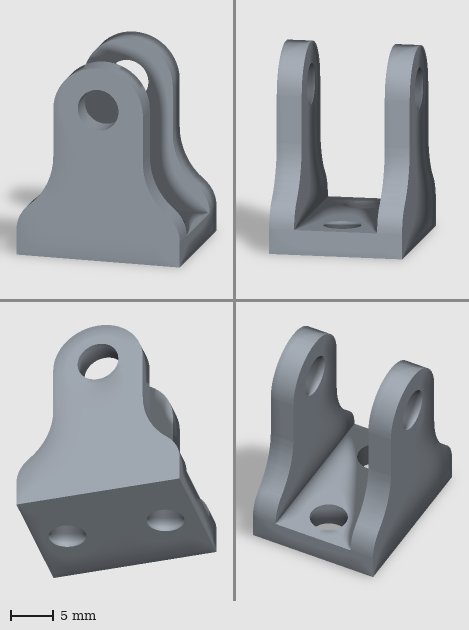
import cadquery as cq
import math

length = 20.0
width = 16.0
height = 23.65
thickness = 3.0

neck_half_width = 5.5
crown_radius = 5.45
shoulder_base = 3.08
shoulder_radius = 4.0
shoulder_flat = 0.1
flare_radius = 8.0

pivot_diameter = 5.0
pivot_height = 18.53
mount_diameter = 4.5
mount_spacing = 12.02

half_length = length / 2
crown_base = height - crown_radius
crown_flat_half = neck_half_width - crown_radius
crown_diagonal = crown_radius * math.sqrt(0.5)

radius_sum = shoulder_radius + flare_radius
run = half_length - neck_half_width
sweep = (
    math.acos((radius_sum - run) / math.hypot(radius_sum, shoulder_flat))
    - math.atan2(shoulder_flat, radius_sum)
)
flare_top = shoulder_base + radius_sum * math.sin(sweep) + shoulder_flat * math.cos(sweep)


def shoulder_point(angle):
    """Point on the right shoulder arc, with the angle measured from +X."""
    return (
        half_length - shoulder_radius * (1 - math.cos(angle)),
        shoulder_base + shoulder_radius * math.sin(angle),
    )


def flare_point(angle):
    """Point on the right flare arc, with the angle measured from -X."""
    return (
        neck_half_width + flare_radius * (1 - math.cos(angle)),
        flare_top - flare_radius * math.sin(angle),
    )


def mirrored(point):
    return (-point[0], point[1])


def make_ear(back_y):
    """Upright ear, extending toward -Y from back_y."""
    shoulder_end = shoulder_point(sweep)
    flare_start = flare_point(sweep)
    shoulder_middle = shoulder_point(sweep / 2)
    flare_middle = flare_point(sweep / 2)
    crown_start = (neck_half_width, crown_base)
    crown_middle = (crown_flat_half + crown_diagonal, crown_base + crown_diagonal)
    crown_end = (crown_flat_half, height)
    return (
        cq.Workplane("XZ", origin=(0, back_y, 0))
        .moveTo(-half_length, 0)
        .lineTo(half_length, 0)
        .lineTo(half_length, shoulder_base)
        .threePointArc(shoulder_middle, shoulder_end)
        .lineTo(*flare_start)
        .threePointArc(flare_middle, (neck_half_width, flare_top))
        .lineTo(*crown_start)
        .threePointArc(crown_middle, crown_end)
        .lineTo(*mirrored(crown_end))
        .threePointArc(mirrored(crown_middle), mirrored(crown_start))
        .lineTo(-neck_half_width, flare_top)
        .threePointArc(mirrored(flare_middle), mirrored(flare_start))
        .lineTo(*mirrored(shoulder_end))
        .threePointArc(mirrored(shoulder_middle), (-half_length, shoulder_base))
        .close()
        .extrude(thickness)
    )


body = cq.Workplane("XY").box(length, width, thickness, centered=(True, True, False))
for back_y in (width / 2, thickness - width / 2):
    body = body.union(make_ear(back_y))

pivot_hole = (
    cq.Workplane("XZ")
    .center(0, pivot_height)
    .circle(pivot_diameter / 2)
    .extrude(width / 2, both=True)
)

mount_holes = (
    cq.Workplane("XY")
    .pushPoints([(-mount_spacing / 2, 0), (mount_spacing / 2, 0)])
    .circle(mount_diameter / 2)
    .extrude(thickness)
)

result = body.cut(pivot_hole).cut(mount_holes)